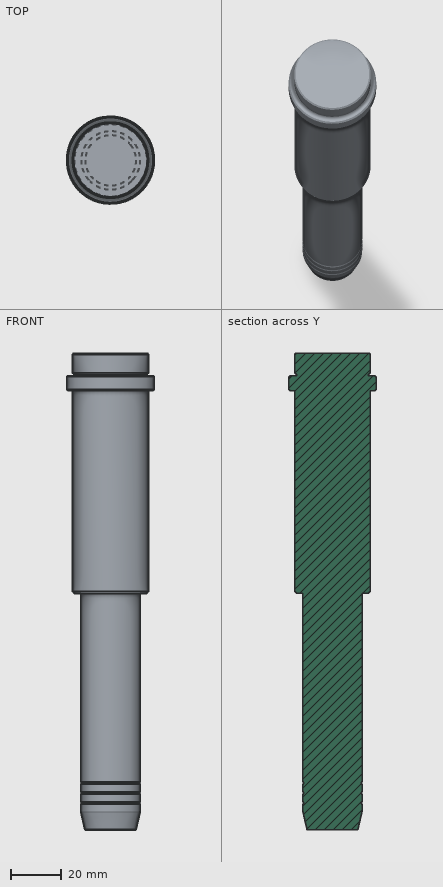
import cadquery as cq

total_length = 190.0
body_bottom = 94.2
collar_bottom = 175.0
collar_top = 181.0
undercut_height = 1.1

body_radius = 15.2
collar_radius = 17.5
shank_radius = 23.8 / 2
tip_radius = 10.3
undercut_depth = 0.8

edge_chamfer = 0.5
body_chamfer = 1.0
tip_chamfer = 0.4
taper_length = 7.5

groove_count = 3
groove_pitch = 4.0
groove_width = 1.1
groove_depth = 0.4
lowest_groove_height = 10.8


def cylinder(radius, bottom, top):
    """Solid cylinder on the Z axis between two heights."""
    return cq.Workplane("XY").workplane(offset=bottom).circle(radius).extrude(top - bottom)


def v_groove(surface_radius, center_height, width, depth):
    """Ring with a pointed section, used to cut a V-shaped groove."""
    return (
        cq.Workplane("XZ")
        .moveTo(surface_radius, center_height - width / 2)
        .lineTo(surface_radius - depth, center_height)
        .lineTo(surface_radius, center_height + width / 2)
        .lineTo(collar_radius, center_height + width / 2)
        .lineTo(collar_radius, center_height - width / 2)
        .close()
        .revolve(360, (0, 0, 0), (0, 1, 0))
    )


def make_shank():
    """Narrow shank with a tapered, chamfered tip and ring grooves."""
    profile = [
        (0, 0),
        (tip_radius - tip_chamfer, 0),
        (tip_radius, tip_chamfer),
        (shank_radius, taper_length),
        (shank_radius, body_bottom),
        (0, body_bottom),
    ]
    shank = cq.Workplane("XZ").polyline(profile).close().revolve(360, (0, 0, 0), (0, 1, 0))
    for index in range(groove_count):
        height = lowest_groove_height + index * groove_pitch
        shank = shank.cut(v_groove(shank_radius, height, groove_width, groove_depth))
    return shank


def make_body():
    """Wide body running through the collar, with an undercut, sloped on its upper side, above the collar."""
    body = cylinder(body_radius, body_bottom, total_length)
    body = body.faces("<Z").chamfer(body_chamfer)
    body = body.faces(">Z").chamfer(edge_chamfer)
    undercut_floor = body_radius - undercut_depth
    undercut_profile = [
        (undercut_floor, collar_top),
        (undercut_floor, collar_top + undercut_height - undercut_depth),
        (body_radius, collar_top + undercut_height),
        (collar_radius, collar_top + undercut_height),
        (collar_radius, collar_top),
    ]
    undercut = cq.Workplane("XZ").polyline(undercut_profile).close()
    return body.cut(undercut.revolve(360, (0, 0, 0), (0, 1, 0)))


def make_collar():
    """Collar with both rims chamfered."""
    return cylinder(collar_radius, collar_bottom, collar_top).edges().chamfer(edge_chamfer)


result = make_shank().union(make_body()).union(make_collar())